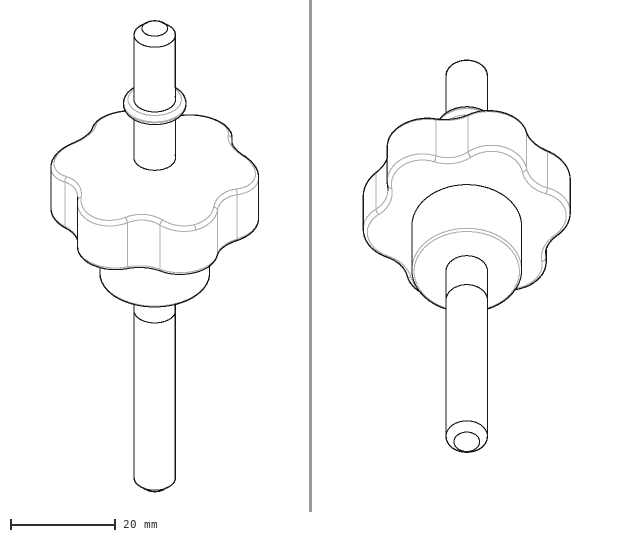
import cadquery as cq
import math

ROD_LENGTH = 109.0
ROD_DIAMETER = 8.0
ROD_RADIUS = ROD_DIAMETER / 2
ROD_END_CHAMFER = 1.5
STUD_LENGTH = 41.5

RING_DIAMETER = 12.0
RING_THICKNESS = 2.0
RING_FILLET = 0.9
RING_MID_Z = 91.0

LOBE_COUNT = 6
KNOB_DIAMETER = 40.0
KNOB_RADIUS = KNOB_DIAMETER / 2
LOBE_RADIUS = 7.0
LOBE_CENTRE_RADIUS = KNOB_RADIUS - LOBE_RADIUS
VALLEY_RADIUS = 6.4
CROWN_Z = 78.1
CROWN_CURVE_RADIUS = 69.7
BELLY_Z = 63.0
BELLY_CURVE_RADIUS = 196.1
GRIP_EDGE_FILLET = 0.9

HUB_DIAMETER = 21.0
HUB_BOTTOM_Z = 50.0
HUB_EDGE_FILLET = 0.4


def polar(radius, angle):
    return (radius * math.cos(angle), radius * math.sin(angle))


def grip_outline():
    """Closed wire of lobes and valleys, with one lobe centred on +X."""
    half_pitch = math.pi / LOBE_COUNT
    radius_sum = LOBE_RADIUS + VALLEY_RADIUS
    half_gap = LOBE_CENTRE_RADIUS * math.sin(half_pitch)
    gap_middle_radius = LOBE_CENTRE_RADIUS * math.cos(half_pitch)
    valley_centre_radius = gap_middle_radius + math.sqrt(radius_sum**2 - half_gap**2)
    valley_floor_radius = valley_centre_radius - VALLEY_RADIUS

    lobe_share = LOBE_RADIUS / radius_sum
    valley_x, valley_y = polar(valley_centre_radius, half_pitch)
    tangent_x = LOBE_CENTRE_RADIUS + lobe_share * (valley_x - LOBE_CENTRE_RADIUS)
    tangent_y = lobe_share * valley_y
    tangent_radius = math.hypot(tangent_x, tangent_y)
    tangent_angle = math.atan2(tangent_y, tangent_x)

    outline = cq.Workplane("XY").moveTo(*polar(tangent_radius, -tangent_angle))
    for index in range(LOBE_COUNT):
        lobe_angle = 2 * half_pitch * index
        valley_angle = lobe_angle + half_pitch
        next_lobe_angle = lobe_angle + 2 * half_pitch
        lobe_tip = polar(KNOB_RADIUS, lobe_angle)
        lobe_end = polar(tangent_radius, lobe_angle + tangent_angle)
        valley_floor = polar(valley_floor_radius, valley_angle)
        valley_end = polar(tangent_radius, next_lobe_angle - tangent_angle)
        outline = outline.threePointArc(lobe_tip, lobe_end)
        outline = outline.threePointArc(valley_floor, valley_end)
    return outline.close()


def ball(radius, centre_z):
    """Sphere on the rod axis, used to dome the grip."""
    return cq.Workplane("XY").sphere(radius).translate((0, 0, centre_z))


def make_bore():
    """Full-length cutter that clears the rod."""
    return cq.Workplane("XY").circle(ROD_RADIUS).extrude(ROD_LENGTH)


def make_grip():
    """Lobed block with a domed crown and a slightly bulged underside."""
    block = grip_outline().extrude(CROWN_Z - BELLY_Z).translate((0, 0, BELLY_Z))
    block = block.intersect(ball(CROWN_CURVE_RADIUS, CROWN_Z - CROWN_CURVE_RADIUS))
    block = block.intersect(ball(BELLY_CURVE_RADIUS, BELLY_Z + BELLY_CURVE_RADIUS))
    return block.edges("not |Z").fillet(GRIP_EDGE_FILLET)


def make_knob():
    """Grip and hub in one piece, bored through for the rod."""
    hub_top_z = (BELLY_Z + CROWN_Z) / 2
    hub = cq.Workplane("XY").workplane(offset=HUB_BOTTOM_Z).circle(HUB_DIAMETER / 2)
    hub = hub.extrude(hub_top_z - HUB_BOTTOM_Z)
    hub = hub.faces("<Z").edges().fillet(HUB_EDGE_FILLET)
    return make_grip().union(hub).cut(make_bore())


def make_stud():
    """Lower length of the rod, chamfered at its free end."""
    stud = cq.Workplane("XY").circle(ROD_RADIUS).extrude(STUD_LENGTH)
    return stud.faces("<Z").chamfer(ROD_END_CHAMFER)


def make_pin():
    """Upper length of the rod, standing on the stud and chamfered at its free end."""
    pin = cq.Workplane("XY").workplane(offset=STUD_LENGTH).circle(ROD_RADIUS)
    pin = pin.extrude(ROD_LENGTH - STUD_LENGTH)
    return pin.faces(">Z").chamfer(ROD_END_CHAMFER)


def make_ring():
    """Retaining ring with a rounded rim, fitted around the pin."""
    ring = cq.Workplane("XY").workplane(offset=RING_MID_Z - RING_THICKNESS / 2)
    ring = ring.circle(RING_DIAMETER / 2).extrude(RING_THICKNESS)
    ring = ring.edges().fillet(RING_FILLET)
    return ring.cut(make_bore())


knob = make_knob()
stud = make_stud()
pin = make_pin()
ring = make_ring()

result = cq.Compound.makeCompound([knob.val(), stud.val(), pin.val(), ring.val()])